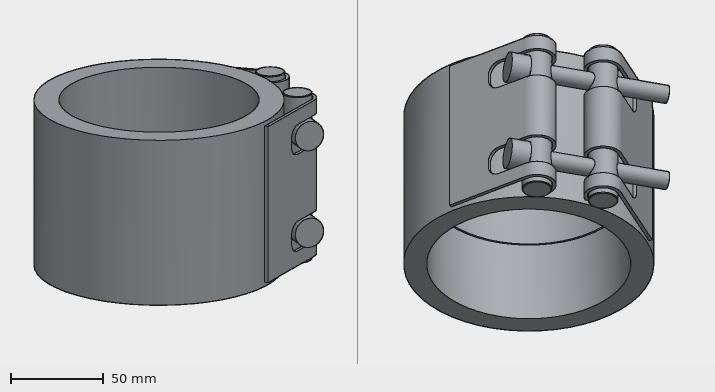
import cadquery as cq
import math

outer_diameter = 135.0
upper_bore_diameter = 108.0
lower_bore_diameter = 110.0
sleeve_height = 94.0
outer_radius = outer_diameter / 2

pin_diameter = 16.0
pin_height = 95.0
pin_edge_chamfer = 0.5
pin_x = 18.7
pin_radius = pin_diameter / 2
pin_distance = outer_radius + pin_radius
pin_y = math.sqrt(pin_distance**2 - pin_x**2)

overall_length = 151.0
strap_height = 89.0
strap_tail = 3.3
strap_thickness = 2.0
loop_outer_radius = overall_length - outer_radius - pin_y
loop_inner_radius = loop_outer_radius - strap_thickness

bolt_spacing = 55.1
slot_width = 16.9
slot_corner_radius = 7.0
slot_reach = 24.8

bolt_diameter = 10.0
bolt_start_x = -54.8
bolt_end_x = 35.3
head_diameter = 16.6
head_length = 10.9

tangent_angle = math.atan2(pin_y, -pin_x) + math.acos((outer_radius - loop_inner_radius) / pin_distance)
normal = cq.Vector(math.cos(tangent_angle), math.sin(tangent_angle), 0)
down_strap = cq.Vector(-normal.y, normal.x, 0)
pin_center = cq.Vector(-pin_x, pin_y, 0)
bolt_levels = [-bolt_spacing / 2, bolt_spacing / 2]


def cylinder(diameter, height):
    """Upright cylinder centred on the origin."""
    return cq.Workplane("XY").circle(diameter / 2).extrude(height / 2, both=True)


def prism(points, height):
    """Upright prism centred on Z = 0."""
    outline = [(point.x, point.y) for point in points]
    return cq.Workplane("XY").polyline(outline).close().extrude(height / 2, both=True)


def make_strap_plate():
    """Flat stretch of the left strap, with its foot closed down onto the sleeve."""
    sleeve_tangent = normal * outer_radius
    loop_tangent = pin_center + normal * loop_inner_radius
    across = normal * strap_thickness
    tail = down_strap * strap_tail
    foot = sleeve_tangent + tail - across
    return prism(
        [loop_tangent, loop_tangent + across, sleeve_tangent + across + tail, foot, sleeve_tangent],
        strap_height,
    )


def make_loop():
    """Strap wrapped over the left pin and down its inner side to the sleeve."""
    loop = cylinder(2 * loop_outer_radius, strap_height).translate(pin_center)
    reach = 2 * loop_outer_radius
    under_pin = pin_center - cq.Vector(0, reach, 0)
    outer_side = prism(
        [pin_center, pin_center + normal * reach, under_pin + normal * reach, under_pin],
        strap_height,
    )
    return loop.cut(outer_side)


def make_slot_cutter(level):
    """Cutter with rounded lower corners, square to the plate, open past the top of the loop."""
    plane = cq.Plane(
        origin=(pin_center + cq.Vector(0, 0, level)).toTuple(),
        xDir=down_strap.toTuple(),
        normal=normal.toTuple(),
    )
    past_loop = 2 * loop_outer_radius
    return (
        cq.Workplane(plane)
        .center((slot_reach - past_loop) / 2, 0)
        .rect(slot_reach + past_loop, slot_width)
        .extrude(past_loop, both=True)
        .edges(cq.selectors.ParallelDirSelector(normal))
        .edges(cq.selectors.DirectionMinMaxSelector(down_strap, True))
        .fillet(slot_corner_radius)
    )


def make_left_strap():
    strap = make_strap_plate().union(make_loop())
    strap = strap.cut(cylinder(2 * loop_inner_radius, strap_height).translate(pin_center))
    for level in bolt_levels:
        strap = strap.cut(make_slot_cutter(level))
    return strap


def make_sleeve():
    """Sleeve with a bore that widens below mid-height, carrying both straps."""
    left_strap = make_left_strap()
    sleeve = cylinder(outer_diameter, sleeve_height)
    sleeve = sleeve.union(left_strap).union(left_strap.mirror("YZ"))
    upper_bore = cylinder(upper_bore_diameter, sleeve_height)
    lower_bore = cq.Workplane("XY").circle(lower_bore_diameter / 2).extrude(-sleeve_height / 2)
    return sleeve.cut(upper_bore).cut(lower_bore)


def make_pin(x):
    pin = cylinder(pin_diameter, pin_height).edges().chamfer(pin_edge_chamfer)
    return pin.translate((x, pin_y, 0))


def make_bolt(level):
    """Round bolt along X with a plain cylindrical head at its +X end."""
    end_face = cq.Workplane("YZ", origin=(bolt_end_x, pin_y, level))
    shank = end_face.circle(bolt_diameter / 2).extrude(bolt_start_x - bolt_end_x)
    head = end_face.circle(head_diameter / 2).extrude(-head_length)
    return shank.union(head)


def make_fastener():
    """Two pins joined by the two bolts that run through them."""
    fastener = make_pin(-pin_x).union(make_pin(pin_x))
    for level in bolt_levels:
        fastener = fastener.union(make_bolt(level))
    return fastener


sleeve = make_sleeve()
fastener = make_fastener()

result = cq.Compound.makeCompound([*sleeve.solids().vals(), *fastener.solids().vals()])